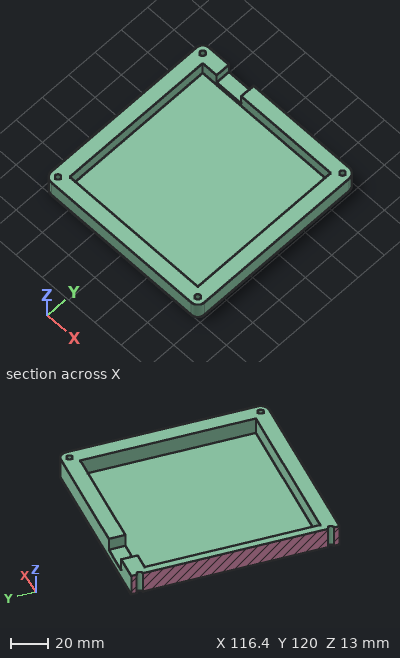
import cadquery as cq

length_x = 116.4
width_y = 120.0
height = 13.0
corner_radius = 5.0

wall_thickness = 9.5
floor_thickness = 3.0
pocket_x = length_x - 2 * wall_thickness
pocket_y = width_y - 2 * wall_thickness
pocket_depth = height - floor_thickness

screw_hole_diameter = 3.4
screw_spacing_x = length_x - 2 * corner_radius
screw_spacing_y = width_y - 2 * corner_radius

notch_width = 18.7
notch_depth = 7.5
notch_offset = 20.1
notch_center_x = -length_x / 2 + notch_offset + notch_width / 2
notch_center_y = (width_y - wall_thickness) / 2


def make_body():
    """Block with rounded vertical corners."""
    block = cq.Workplane("XY").box(length_x, width_y, height, centered=(True, True, False))
    return block.edges("|Z").fillet(corner_radius)


def cut_from_top(body, center_x, center_y, size_x, size_y, depth):
    """Remove a rectangular recess that is open at the top face."""
    recess = (
        cq.Workplane("XY", origin=(center_x, center_y, height))
        .rect(size_x, size_y)
        .extrude(-depth)
    )
    return body.cut(recess)


def cut_screw_holes(body):
    """Drill one through hole in each corner."""
    holes = (
        cq.Workplane("XY")
        .rect(screw_spacing_x, screw_spacing_y, forConstruction=True)
        .vertices()
        .circle(screw_hole_diameter / 2)
        .extrude(height)
    )
    return body.cut(holes)


tray = make_body()
tray = cut_from_top(tray, 0, 0, pocket_x, pocket_y, pocket_depth)
tray = cut_from_top(tray, notch_center_x, notch_center_y, notch_width, wall_thickness, notch_depth)
result = cut_screw_holes(tray)